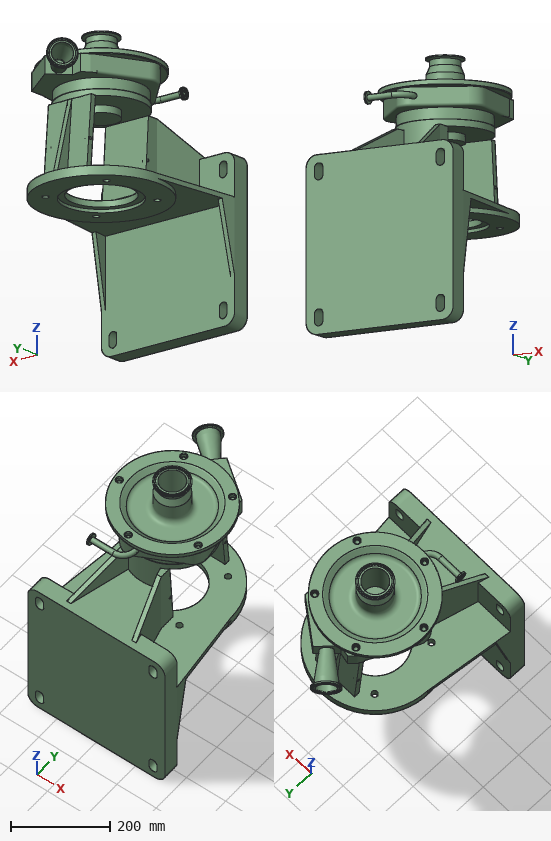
import cadquery as cq
import math


plate_width = 350.0
plate_height = 370.0
plate_thickness = 40.5
plate_front_y = -250.5
plate_back_y = plate_front_y + plate_thickness
plate_corner_radius = 26.0
slot_width = 20.0
slot_length = 35.0
slot_spacing_x = 289.5
slot_spacing_z = 300.5

shelf_top = 270.0
shelf_thickness = 10.5
flange_radius = 150.0
flange_thickness = 21.0
flange_bore_radius = 74.0
register_radius = 89.0
register_depth = 7.0
flange_hole_radius = 7.0
flange_hole_circle_radius = 113.5
web_thickness = 10.5
web_reach = 34.5
web_foot = 102.0

yoke_top = 435.0
yoke_half_width = 56.5
yoke_outer_radius = 101.0
front_wall_top_y = -81.0
front_wall_bottom_y = -70.0
rear_wall_top_y = 86.5
rear_wall_bottom_y = 101.0
rear_wall_thickness = 13.0
rib_thickness = 10.5
rib_angle = 14.6
front_rib_start_y = -109.0
front_rib_end_y = -234.0
rear_rib_end_y = 145.0
side_hole_radius = 3.0
side_hole_depth = 12.0
side_hole_z = 339.5
side_hole_front_y = -79.0
side_hole_rear_y = 102.5

housing_flange_radius = 101.0
housing_flange_top = 450.0
housing_radius = 99.0
spigot_radius = 41.0
spigot_bottom = 419.0

casing_bottom = 474.0
casing_top = 513.5
casing_corner_circle_radius = 99.0
casing_corner_radius = 34.0
casing_bottom_fillet = 5.5
bolt_count = 5
first_bolt_angle = 45.0

lid_radius = 135.5
lid_top = 524.5
lid_edge_chamfer = 2.0
dish_rim_radius = 106.0
dish_wall_radius = 103.0
dish_curve_radius = 93.0
dish_floor_radius = 83.0
dish_depth = 17.0
dish_rim_chamfer_depth = 2.0
dish_wall_depth = 10.5
dish_curve_mid = (89.0, 15.5)
bolt_circle_radius = 122.0
bolt_hole_radius = 6.5
bolt_hole_depth = 9.0
bolt_sink_radius = 8.5
bolt_sink_depth = 2.0
bolt_point_radius = 5.0
bolt_point_depth = 12.0

groove_width = 3.0
groove_depth = 1.0
inlet_groove_radius = 34.0
outlet_groove_radius = 27.0
drain_groove_radius = 7.0

inlet_top = 593.5
inlet_ferrule_radius = 40.0
inlet_ferrule_rim = 3.0
inlet_ferrule_height = 5.5
inlet_neck_radius = 32.0
inlet_neck_bottom = 575.0
inlet_body_radius = 39.0
inlet_body_top = 558.5
inlet_fillet = 15.0
inlet_bore_radius = 29.0
inlet_bore_bottom = 494.0

outlet_offset = 97.0
outlet_z = 492.0
outlet_start = 110.0
outlet_overlap = 6.0
outlet_end = 193.5
outlet_angle = 135
outlet_ferrule_radius = 32.0
outlet_ferrule_thickness = 3.5
outlet_neck_radius = 25.0
outlet_neck_length = 18.0
outlet_root_radius = 15.5
outlet_wall = 2.5
outlet_block_outline = [(-54.0, 131.0), (-29.0, 126.0), (10.0, 166.0), (101.5, 98.5), (101.5, 0)]
flat_extension = 14.0

drain_y = -157.0
drain_z = 495.5
drain_end_x = -87.0
drain_bend_x = -27.5
drain_bend_radius = 30.0
drain_radius = 6.5
drain_bore_radius = 4.0
drain_inner_y = -107.0
drain_ferrule_radius = 13.0
drain_ferrule_thickness = 3.5


def disc(radius, bottom, top):
    """Cylinder on the pump axis."""
    return cq.Workplane("XY").workplane(offset=bottom).circle(radius).extrude(top - bottom)


def profile_yz(points, half_width):
    """Prism along X, centred on X = 0, with its outline in Y and Z."""
    return cq.Workplane("YZ").polyline(points).close().extrude(half_width, both=True)


def gasket_groove(face, inner_radius):
    """Ring to cut into a ferrule face; the face plane points out of the pipe."""
    return face.circle(inner_radius + groove_width).circle(inner_radius).extrude(-groove_depth)


def mounting_plate():
    middle_z = plate_height / 2
    plate = (
        cq.Workplane("XY")
        .box(plate_width, plate_thickness, plate_height)
        .edges("|Y").fillet(plate_corner_radius)
        .translate((0, (plate_front_y + plate_back_y) / 2, middle_z))
    )
    slots = (
        cq.Workplane("XZ", origin=(0, plate_back_y, middle_z))
        .rarray(slot_spacing_x, slot_spacing_z, 2, 2)
        .slot2D(slot_length, slot_width, 90)
        .extrude(plate_thickness)
    )
    return plate.cut(slots)


def tapered_outline(side_inset):
    """Flat outline from the plate width to the round motor flange, narrowed by an inset on each side."""
    wide = plate_width / 2 - side_inset
    narrow = flange_radius - side_inset
    return (
        cq.Workplane("XY")
        .moveTo(-wide, plate_back_y)
        .lineTo(wide, plate_back_y)
        .lineTo(narrow, 0)
        .threePointArc((0, narrow), (-narrow, 0))
        .close()
    )


def shelf():
    body = tapered_outline(0).extrude(shelf_thickness).translate((0, 0, shelf_top - shelf_thickness))
    flange_bottom = shelf_top - flange_thickness
    body = body.union(disc(flange_radius, flange_bottom, shelf_top))
    body = body.cut(disc(flange_bore_radius, flange_bottom, shelf_top))
    body = body.cut(disc(register_radius, flange_bottom, flange_bottom + register_depth))
    holes = (
        cq.Workplane("XY", origin=(0, 0, shelf_top))
        .polarArray(flange_hole_circle_radius, 45, 360, 4)
        .circle(flange_hole_radius)
        .extrude(-flange_thickness)
    )
    return body.cut(holes)


def shelf_webs():
    """Triangular webs below the shelf, flush with its tapered sides."""
    triangle = profile_yz(
        [
            (plate_back_y, shelf_top - shelf_thickness),
            (plate_back_y + web_reach, shelf_top - shelf_thickness),
            (plate_back_y, web_foot),
        ],
        plate_width,
    )
    outside = tapered_outline(0).extrude(shelf_top)
    inside = tapered_outline(web_thickness).extrude(shelf_top)
    return outside.cut(inside).intersect(triangle)


def front_ribs():
    """Two splayed ribs from the front yoke wall to the mounting plate, with a solid block between."""
    spread = math.tan(math.radians(rib_angle))
    width = rib_thickness / math.cos(math.radians(rib_angle))
    root_y = front_wall_top_y
    root_x = yoke_half_width - (root_y - front_rib_start_y) * spread
    end_x = yoke_half_width + (front_rib_start_y - front_rib_end_y) * spread
    base = cq.Workplane("XY", origin=(0, 0, shelf_top))
    block = (
        base.polyline([(-root_x, root_y), (root_x, root_y),
                       (end_x, front_rib_end_y), (-end_x, front_rib_end_y)])
        .close()
        .extrude(plate_height - shelf_top)
    )
    rib = (
        base.polyline([(root_x - width, root_y), (root_x, root_y),
                       (end_x, front_rib_end_y), (end_x - width, front_rib_end_y)])
        .close()
        .extrude(yoke_top - shelf_top)
    )
    envelope = profile_yz(
        [
            (root_y, shelf_top),
            (root_y, yoke_top),
            (front_rib_start_y, yoke_top),
            (front_rib_end_y, plate_height),
            (plate_back_y, plate_height),
            (plate_back_y, shelf_top),
        ],
        plate_width,
    )
    return block.union(rib).union(rib.mirror("YZ")).intersect(envelope)


def yoke():
    front_wall = disc(yoke_outer_radius, shelf_top, yoke_top).intersect(profile_yz(
        [
            (front_wall_top_y, yoke_top),
            (front_wall_bottom_y, shelf_top),
            (-yoke_outer_radius, shelf_top),
            (-yoke_outer_radius, yoke_top),
        ],
        yoke_half_width,
    ))
    corner = cq.Workplane("XY").box(
        rib_thickness, front_wall_bottom_y - front_rib_start_y, yoke_top - shelf_top, centered=False
    ).translate((yoke_half_width - rib_thickness, front_rib_start_y, shelf_top))
    front_space = profile_yz(
        [
            (front_wall_top_y, yoke_top),
            (front_wall_bottom_y, shelf_top),
            (front_rib_start_y, shelf_top),
            (front_rib_start_y, yoke_top),
        ],
        yoke_half_width,
    )
    corner = corner.intersect(front_space)
    rear_wall = profile_yz(
        [
            (rear_wall_top_y, yoke_top),
            (rear_wall_top_y + rear_wall_thickness, yoke_top),
            (rear_wall_bottom_y + rear_wall_thickness, shelf_top),
            (rear_wall_bottom_y, shelf_top),
        ],
        yoke_half_width,
    )
    rear_rib = profile_yz(
        [
            (rear_wall_top_y + rear_wall_thickness, yoke_top),
            (rear_rib_end_y, shelf_top),
            (rear_wall_bottom_y, shelf_top),
        ],
        rib_thickness / 2,
    )
    body = front_wall.union(corner).union(corner.mirror("YZ")).union(rear_wall).union(rear_rib)
    body = body.union(front_ribs())
    for side in (-1, 1):
        for hole_y in (side_hole_front_y, side_hole_rear_y):
            hole = (
                cq.Workplane("YZ", origin=(side * yoke_half_width, hole_y, side_hole_z))
                .circle(side_hole_radius)
                .extrude(-side * side_hole_depth)
            )
            body = body.cut(hole)
    return body


def bearing_housing():
    body = disc(housing_flange_radius, yoke_top, housing_flange_top)
    body = body.union(disc(housing_radius, housing_flange_top, casing_bottom))
    return body.union(disc(spigot_radius, spigot_bottom, yoke_top))


def casing():
    corners = []
    for index in range(bolt_count):
        angle = math.radians(first_bolt_angle + index * 360 / bolt_count)
        corners.append((casing_corner_circle_radius * math.cos(angle),
                        casing_corner_circle_radius * math.sin(angle)))
    body = (
        cq.Workplane("XY", origin=(0, 0, casing_bottom))
        .polyline(corners).close()
        .offset2D(casing_corner_radius)
        .extrude(casing_top - casing_bottom)
        .faces("<Z").edges().fillet(casing_bottom_fillet)
    )
    half_step = math.pi / bolt_count
    flat_distance = casing_corner_circle_radius * math.cos(half_step) + casing_corner_radius
    flat_angle = math.radians(first_bolt_angle) + 3 * half_step
    flat_half_length = casing_corner_circle_radius * math.sin(half_step)
    flat_ends = []
    for along in (flat_half_length, flat_half_length + flat_extension):
        flat_ends.append((flat_distance * math.cos(flat_angle) + along * math.sin(flat_angle),
                          flat_distance * math.sin(flat_angle) - along * math.cos(flat_angle)))
    block = (
        cq.Workplane("XY", origin=(0, 0, casing_bottom))
        .polyline(flat_ends + outlet_block_outline).close()
        .extrude(casing_top - casing_bottom)
    )
    return body.union(block)


def lid():
    return (
        cq.Workplane("XZ")
        .moveTo(0, casing_top)
        .lineTo(lid_radius - lid_edge_chamfer, casing_top)
        .lineTo(lid_radius, casing_top + lid_edge_chamfer)
        .lineTo(lid_radius, lid_top)
        .lineTo(0, lid_top)
        .close()
        .revolve(360, (0, 0, 0), (0, 1, 0))
    )


def dish():
    """Round hollow in the top of the lid that also sinks into the casing."""
    floor = lid_top - dish_depth
    mid_radius, mid_depth = dish_curve_mid
    return (
        cq.Workplane("XZ")
        .moveTo(0, lid_top)
        .lineTo(dish_rim_radius, lid_top)
        .lineTo(dish_wall_radius, lid_top - dish_rim_chamfer_depth)
        .lineTo(dish_curve_radius, lid_top - dish_wall_depth)
        .threePointArc((mid_radius, lid_top - mid_depth), (dish_floor_radius, floor))
        .lineTo(0, floor)
        .close()
        .revolve(360, (0, 0, 0), (0, 1, 0))
    )


def inlet_nozzle():
    floor = lid_top - dish_depth
    fillet_mid = inlet_fillet * (1 - math.sqrt(0.5))
    body = (
        cq.Workplane("XZ")
        .moveTo(0, floor)
        .lineTo(inlet_body_radius + inlet_fillet, floor)
        .threePointArc((inlet_body_radius + fillet_mid, floor + fillet_mid),
                       (inlet_body_radius, floor + inlet_fillet))
        .lineTo(inlet_body_radius, inlet_body_top)
        .lineTo(inlet_neck_radius, inlet_neck_bottom)
        .lineTo(inlet_neck_radius, inlet_top - inlet_ferrule_height)
        .lineTo(inlet_ferrule_radius, inlet_top - inlet_ferrule_rim)
        .lineTo(inlet_ferrule_radius, inlet_top)
        .lineTo(0, inlet_top)
        .close()
        .revolve(360, (0, 0, 0), (0, 1, 0))
    )
    face = cq.Workplane("XY", origin=(0, 0, inlet_top))
    return body.cut(gasket_groove(face, inlet_groove_radius))


def bolt_holes():
    """Countersunk blind holes with drill points, on the lid bolt circle."""
    hole = (
        cq.Workplane("XZ")
        .lineTo(bolt_sink_radius, 0)
        .lineTo(bolt_hole_radius, -bolt_sink_depth)
        .lineTo(bolt_hole_radius, -bolt_hole_depth)
        .lineTo(bolt_point_radius, -bolt_hole_depth)
        .lineTo(0, -bolt_point_depth)
        .close()
        .revolve(360, (0, 0, 0), (0, 1, 0))
        .translate((bolt_circle_radius, 0, lid_top))
    )
    holes = cq.Workplane("XY")
    for index in range(bolt_count):
        angle = first_bolt_angle + index * 360 / bolt_count
        holes = holes.add(hole.rotate((0, 0, 0), (0, 0, 1), angle))
    return holes.combine()


def place_outlet(body):
    """Move a body turned about X to the outlet axis."""
    return body.translate((0, -outlet_offset, outlet_z)).rotate((0, 0, 0), (0, 0, 1), outlet_angle)


def outlet_nozzle():
    body = (
        cq.Workplane("XY")
        .moveTo(outlet_start - outlet_overlap, 0)
        .lineTo(outlet_start - outlet_overlap, outlet_root_radius)
        .lineTo(outlet_start, outlet_root_radius)
        .lineTo(outlet_end - outlet_neck_length, outlet_neck_radius)
        .lineTo(outlet_end - outlet_ferrule_thickness, outlet_neck_radius)
        .lineTo(outlet_end - outlet_ferrule_thickness, outlet_ferrule_radius)
        .lineTo(outlet_end, outlet_ferrule_radius)
        .lineTo(outlet_end, 0)
        .close()
        .revolve(360, (0, 0, 0), (1, 0, 0))
    )
    face = cq.Workplane("YZ", origin=(outlet_end, 0, 0))
    return place_outlet(body.cut(gasket_groove(face, outlet_groove_radius)))


def outlet_bore():
    body = (
        cq.Workplane("XY")
        .moveTo(outlet_start, 0)
        .lineTo(outlet_start, outlet_root_radius - outlet_wall)
        .lineTo(outlet_end - outlet_neck_length, outlet_neck_radius - outlet_wall)
        .lineTo(outlet_end, outlet_neck_radius - outlet_wall)
        .lineTo(outlet_end, 0)
        .close()
        .revolve(360, (0, 0, 0), (1, 0, 0))
    )
    return place_outlet(body)


def drain_pipe():
    bend_end_x = drain_bend_x + drain_bend_radius
    path = (
        cq.Workplane("XY", origin=(0, 0, drain_z))
        .moveTo(drain_end_x, drain_y)
        .lineTo(drain_bend_x, drain_y)
        .tangentArcPoint((bend_end_x, drain_y + drain_bend_radius), relative=False)
        .lineTo(bend_end_x, drain_inner_y)
    )
    end = cq.Workplane("YZ", origin=(drain_end_x, drain_y, drain_z))
    pipe = end.circle(drain_radius).sweep(path)
    ferrule = end.circle(drain_ferrule_radius).extrude(drain_ferrule_thickness)
    bore = end.circle(drain_bore_radius).extrude(drain_bend_x - drain_end_x)
    face = cq.Workplane(cq.Plane((drain_end_x, drain_y, drain_z), (0, 1, 0), (-1, 0, 0)))
    return pipe.union(ferrule).cut(bore).cut(gasket_groove(face, drain_groove_radius))


bracket = mounting_plate().union(shelf()).union(shelf_webs()).union(yoke())
pump = bearing_housing().union(casing()).union(lid()).cut(dish())
pump = pump.union(inlet_nozzle()).union(outlet_nozzle())
pump = pump.cut(bolt_holes()).cut(disc(inlet_bore_radius, inlet_bore_bottom, inlet_top)).cut(outlet_bore())
result = bracket.union(pump).union(drain_pipe())